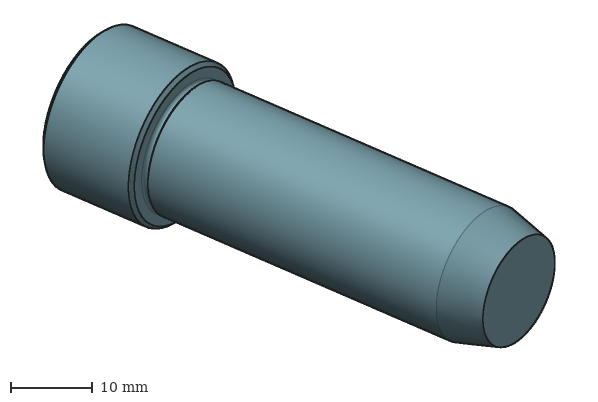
import cadquery as cq
import math

total_length = 65.0
head_diameter = 22.0
head_length = 14.0
head_chamfer = 0.5
shank_diameter = 18.0

groove_depth = 0.45
groove_width = 1.0

lead_length = 6.0
lead_angle = 15.0

head_radius = head_diameter / 2
shank_radius = shank_diameter / 2
groove_radius = shank_radius - groove_depth
groove_end = head_length + groove_width
tip_radius = shank_radius - lead_length * math.tan(math.radians(lead_angle))

profile = (
    cq.Workplane("XY")
    .moveTo(0, 0)
    .lineTo(0, head_radius - head_chamfer)
    .lineTo(head_chamfer, head_radius)
    .lineTo(head_length - head_chamfer, head_radius)
    .lineTo(head_length, head_radius - head_chamfer)
    .lineTo(head_length, shank_radius)
    .threePointArc((head_length + groove_width / 2, groove_radius), (groove_end, shank_radius))
    .lineTo(total_length - lead_length, shank_radius)
    .lineTo(total_length, tip_radius)
    .lineTo(total_length, 0)
    .close()
)

result = profile.revolve(360, (0, 0, 0), (1, 0, 0))